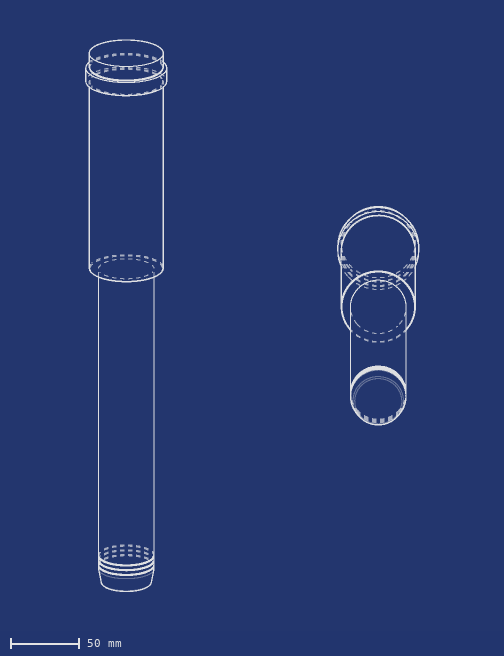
import cadquery as cq

total_length = 413.0

sleeve_diameter = 54.0
sleeve_length = 168.0
sleeve_edge_chamfer = 0.6
collar_diameter = 59.0
collar_height = 10.5
collar_top_gap = 11.5
collar_seat_clearance = 1.0
collar_seat_depth = 0.5

rod_diameter = 40.5
tip_length = 11.0
tip_end_diameter = 36.5
tip_edge_radius = 1.2

groove_count = 3
groove_width = 1.0
groove_depth = 0.12
groove_pitch = 3.7
first_groove_bottom = 13.5


def cylinder(diameter, bottom, height):
    return cq.Workplane("XY").workplane(offset=bottom).circle(diameter / 2).extrude(height)


def make_groove_ring(diameter, bottom, width, depth):
    """Ring of material to remove from a cylinder of the given diameter."""
    core = cylinder(diameter - 2 * depth, bottom, width)
    return cylinder(collar_diameter, bottom, width).cut(core)


def make_rod():
    """Straight rod ending in a conical tip with a rounded end edge."""
    tip = (
        cq.Workplane("XY")
        .circle(tip_end_diameter / 2)
        .workplane(offset=tip_length)
        .circle(rod_diameter / 2)
        .loft()
        .faces("<Z")
        .edges()
        .fillet(tip_edge_radius)
    )
    shaft = cylinder(rod_diameter, tip_length, total_length - sleeve_length - tip_length)
    return tip.union(shaft)


def make_head():
    """Sleeve with a chamfered lower edge and a collar seated in a slightly wider recess."""
    sleeve = cylinder(sleeve_diameter, total_length - sleeve_length, sleeve_length)
    sleeve = sleeve.faces("<Z").edges().chamfer(sleeve_edge_chamfer)
    collar_bottom = total_length - collar_top_gap - collar_height
    collar = cylinder(collar_diameter, collar_bottom, collar_height)
    seat_bottom = collar_bottom - collar_seat_clearance
    seat_height = collar_height + 2 * collar_seat_clearance
    seat = make_groove_ring(sleeve_diameter, seat_bottom, seat_height, collar_seat_depth)
    return sleeve.cut(seat).union(collar)


result = make_rod().union(make_head())
for index in range(groove_count):
    groove_bottom = first_groove_bottom + index * groove_pitch
    result = result.cut(make_groove_ring(rod_diameter, groove_bottom, groove_width, groove_depth))